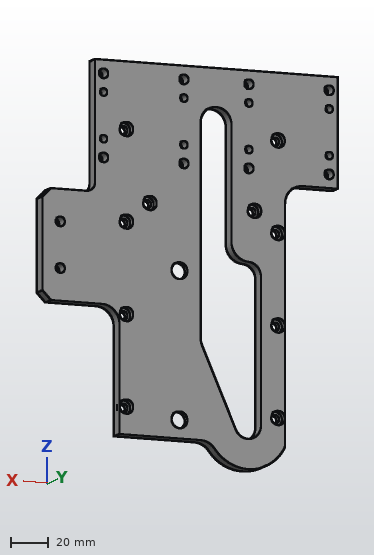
import cadquery as cq
import math

HEIGHT = 213.6
WIDTH = 169.0
THICKNESS = 8.0

HEAD_WIDTH = 138.9
HEAD_HEIGHT = 59.8
HEAD_BOTTOM = HEIGHT - HEAD_HEIGHT
BODY_LEFT = 30.1
BODY_RIGHT = 125.0
BODY_BOTTOM = 13.7
TAB_TOP = 142.7
TAB_BOTTOM = 82.7
TAB_CHAMFER = 5.0
LARGE_FILLET = 10.0
SMALL_FILLET = 5.0
LOBE_RADIUS = 23.7
LOBE_X = 51.5
LOBE_Z = LOBE_RADIUS

SCREW_X = 90.5
SCREW_PITCH = 80.0
SCREW_LOWER_Z = LOBE_Z
SCREW_UPPER_Z = SCREW_LOWER_Z + SCREW_PITCH
SCREW_DIAMETER = 9.0
COUNTERSINK_DIAMETER = 17.5
COUNTERSINK_ANGLE = 90.0

WINDOW_END_RADIUS = 7.5
WINDOW_LEFT = LOBE_X - WINDOW_END_RADIUS
SLOT_LEFT = 60.9
SLOT_RIGHT = 78.5
SLOT_TOP = 192.7
SLOT_RADIUS = (SLOT_RIGHT - SLOT_LEFT) / 2
SLOT_BEND_Z = 66.2
SLOT_BEND_RADIUS = LARGE_FILLET
SHOULDER_RADIUS = LARGE_FILLET

HEAD_EDGE_INSET = 5.0
HEAD_COLUMN_PITCH = 46.0
HEAD_OUTER_PITCH = 45.0
HEAD_INNER_PITCH = 25.0
HEAD_OUTER_DIAMETER = 5.1
HEAD_INNER_DIAMETER = 4.0

FIXING_INSET = 4.0
FIXING_TOP_Z = 177.3
FIXING_ROWS = 4
FIXING_PITCH = 49.5
FIXING_DIAMETER = 4.5
FIXING_BORE_DIAMETER = 7.7
FIXING_BORE_DEPTH = 4.0
PAIR_SPACING = 59.8
PAIR_Z = 138.7

TAB_HOLE_X = 158.7
TAB_HOLE_PITCH = 25.0
TAB_HOLE_DIAMETER = 5.1


def arc_point(center, radius, degrees):
    """Point on a circle in the XZ plane, measured from +X towards +Z."""
    angle = math.radians(degrees)
    return center[0] + radius * math.cos(angle), center[1] + radius * math.sin(angle)


def extrude_back(sketch, depth):
    """Extrude an XZ sketch towards the back face."""
    return sketch.extrude(-depth)


def cylinders(points, diameter, start, depth):
    """Cylinders along +Y beginning at the given Y position."""
    sketch = cq.Workplane("XZ", origin=(0, start, 0)).pushPoints(points).circle(diameter / 2)
    return extrude_back(sketch, depth)


def round_corner(body, x, z, radius):
    """Fillet the through-thickness edge at the given corner."""
    corner = cq.selectors.NearestToPointSelector((x, THICKNESS / 2, z))
    return body.edges("|Y").edges(corner).fillet(radius)


def make_plate():
    blend_z = BODY_BOTTOM - LARGE_FILLET
    blend_reach = LOBE_RADIUS + LARGE_FILLET
    blend_x = LOBE_X + math.sqrt(blend_reach**2 - (LOBE_Z - blend_z) ** 2)
    toward_lobe = math.degrees(math.atan2(LOBE_Z - blend_z, LOBE_X - blend_x))
    blend_center = (blend_x, blend_z)
    blend_end = arc_point(blend_center, LARGE_FILLET, toward_lobe)
    blend_middle = arc_point(blend_center, LARGE_FILLET, (90 + toward_lobe) / 2)
    lobe_start_z = LOBE_Z - math.sqrt(LOBE_RADIUS**2 - (LOBE_X - BODY_LEFT) ** 2)

    outline = (
        cq.Workplane("XZ")
        .moveTo(0, HEIGHT)
        .lineTo(HEAD_WIDTH, HEIGHT)
        .lineTo(HEAD_WIDTH, TAB_TOP)
        .lineTo(WIDTH - TAB_CHAMFER, TAB_TOP)
        .lineTo(WIDTH, TAB_TOP - TAB_CHAMFER)
        .lineTo(WIDTH, TAB_BOTTOM + TAB_CHAMFER)
        .lineTo(WIDTH - TAB_CHAMFER, TAB_BOTTOM)
        .lineTo(BODY_RIGHT, TAB_BOTTOM)
        .lineTo(BODY_RIGHT, BODY_BOTTOM)
        .lineTo(blend_x, BODY_BOTTOM)
        .threePointArc(blend_middle, blend_end)
        .threePointArc((LOBE_X, LOBE_Z - LOBE_RADIUS), (BODY_LEFT, lobe_start_z))
        .lineTo(BODY_LEFT, HEAD_BOTTOM)
        .lineTo(0, HEAD_BOTTOM)
        .close()
    )
    plate = extrude_back(outline, THICKNESS)
    inner_corners = (
        (BODY_LEFT, HEAD_BOTTOM, LARGE_FILLET),
        (BODY_RIGHT, TAB_BOTTOM, LARGE_FILLET),
        (HEAD_WIDTH, TAB_TOP, SMALL_FILLET),
    )
    for x, z, radius in inner_corners:
        plate = round_corner(plate, x, z, radius)
    return plate


def make_window():
    run = SLOT_RIGHT - LOBE_X
    rise = SLOT_BEND_Z - LOBE_Z
    tangent_angle = math.degrees(
        math.atan2(rise, run) - math.acos(WINDOW_END_RADIUS / math.hypot(run, rise))
    )
    lower_center = (LOBE_X, LOBE_Z)
    upper_center = (LOBE_X, SCREW_UPPER_Z)
    slot_end_z = SLOT_TOP - SLOT_RADIUS

    shoulder_x = SLOT_LEFT - SHOULDER_RADIUS
    center_distance = WINDOW_END_RADIUS + SHOULDER_RADIUS
    shoulder_z = SCREW_UPPER_Z + math.sqrt(center_distance**2 - (shoulder_x - LOBE_X) ** 2)
    shoulder_center = (shoulder_x, shoulder_z)
    contact_angle = math.degrees(math.atan2(shoulder_z - SCREW_UPPER_Z, shoulder_x - LOBE_X))
    end_middle = arc_point(upper_center, WINDOW_END_RADIUS, (contact_angle + 180) / 2)
    contact = arc_point(upper_center, WINDOW_END_RADIUS, contact_angle)
    shoulder_middle = arc_point(shoulder_center, SHOULDER_RADIUS, (contact_angle - 180) / 2)

    outline = (
        cq.Workplane("XZ")
        .moveTo(SLOT_RIGHT, slot_end_z)
        .lineTo(SLOT_RIGHT, SLOT_BEND_Z)
        .lineTo(*arc_point(lower_center, WINDOW_END_RADIUS, tangent_angle))
        .threePointArc((LOBE_X, LOBE_Z - WINDOW_END_RADIUS), (WINDOW_LEFT, LOBE_Z))
        .lineTo(WINDOW_LEFT, SCREW_UPPER_Z)
        .threePointArc(end_middle, contact)
        .threePointArc(shoulder_middle, (SLOT_LEFT, shoulder_z))
        .lineTo(SLOT_LEFT, slot_end_z)
        .threePointArc((SLOT_LEFT + SLOT_RADIUS, SLOT_TOP), (SLOT_RIGHT, slot_end_z))
        .close()
    )
    window = extrude_back(outline, THICKNESS)
    return round_corner(window, SLOT_RIGHT, SLOT_BEND_Z, SLOT_BEND_RADIUS)


def make_head_holes():
    first = HEAD_EDGE_INSET
    last = HEAD_WIDTH - HEAD_EDGE_INSET
    columns = (first, first + HEAD_COLUMN_PITCH, last - HEAD_COLUMN_PITCH, last)
    middle_z = HEIGHT - HEAD_HEIGHT / 2

    def rows(pitch):
        return [(x, middle_z + side * pitch / 2) for x in columns for side in (-1, 1)]

    outer = cylinders(rows(HEAD_OUTER_PITCH), HEAD_OUTER_DIAMETER, 0, THICKNESS)
    inner = cylinders(rows(HEAD_INNER_PITCH), HEAD_INNER_DIAMETER, 0, THICKNESS)
    return outer.add(inner).combine()


def make_fixing_holes():
    left = BODY_LEFT + FIXING_INSET
    right = BODY_RIGHT - FIXING_INSET
    middle = (left + right) / 2
    heights = [FIXING_TOP_Z - row * FIXING_PITCH for row in range(FIXING_ROWS)]
    points = [(x, z) for x in (left, right) for z in heights]
    points += [(middle + side * PAIR_SPACING / 2, PAIR_Z) for side in (-1, 1)]
    through = cylinders(points, FIXING_DIAMETER, 0, THICKNESS)
    bores = cylinders(points, FIXING_BORE_DIAMETER, THICKNESS - FIXING_BORE_DEPTH, FIXING_BORE_DEPTH)
    return through.union(bores)


def make_tab_holes():
    middle_z = (TAB_TOP + TAB_BOTTOM) / 2
    points = [(TAB_HOLE_X, middle_z + side * TAB_HOLE_PITCH / 2) for side in (-1, 1)]
    return cylinders(points, TAB_HOLE_DIAMETER, 0, THICKNESS)


def cut_screw_holes(plate):
    points = [(SCREW_X, SCREW_LOWER_Z), (SCREW_X, SCREW_UPPER_Z)]
    rims = cq.Workplane("XZ").pushPoints(points).circle(COUNTERSINK_DIAMETER / 2)
    depth = (COUNTERSINK_DIAMETER - SCREW_DIAMETER) / 2 / math.tan(math.radians(COUNTERSINK_ANGLE / 2))
    cones = rims.extrude(-depth, taper=COUNTERSINK_ANGLE / 2)
    return plate.cut(cones).cut(cylinders(points, SCREW_DIAMETER, 0, THICKNESS))


result = cut_screw_holes(make_plate().cut(make_window()))
for holes in (make_head_holes(), make_fixing_holes(), make_tab_holes()):
    result = result.cut(holes)